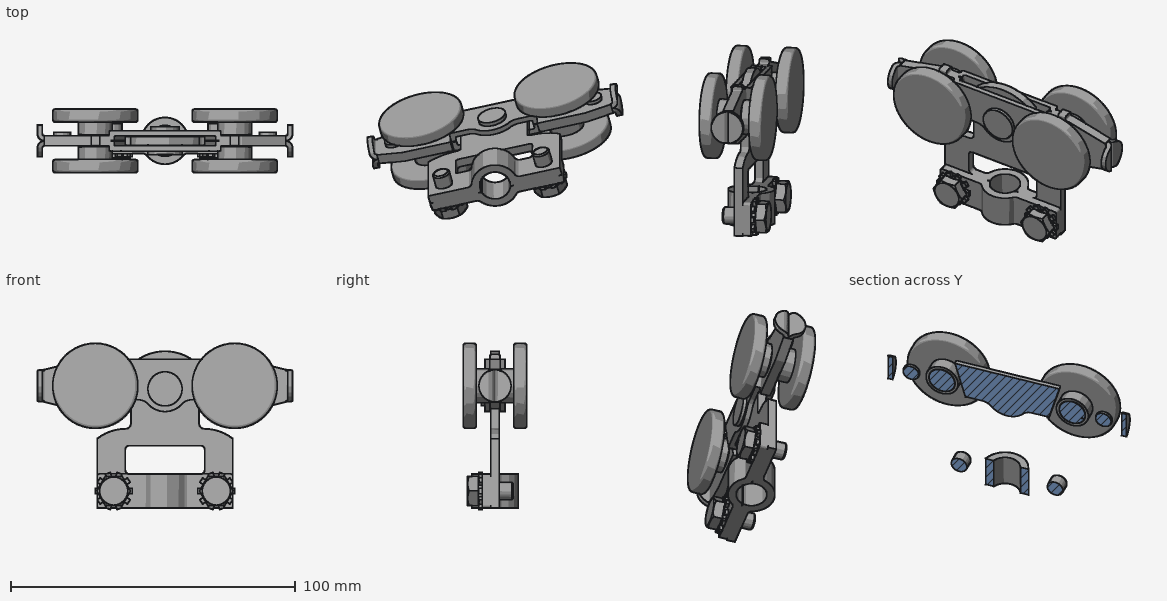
import cadquery as cq
import math


overall_width = 22.4
wheel_radius = 15.0
wheel_thickness = 4.7
wheel_edge_round = 1.0
axle_x = 24.5
hub_radius = 6.0
shoulder_radius = 4.9
hub_inner_y = 2.15
wheel_inner_y = overall_width / 2 - wheel_thickness

overall_length = 89.6
half_length = overall_length / 2
sheet = 1.8
plate_top = 9.4
tip_half_height = 5.7
end_bend_radius = 2.5
bend_x = half_length - end_bend_radius
tab_radius = 5.6
slope_end_x = 27.1
lower_edge = -8.0
middle_lower_edge = -4.9

bulge_top_x = 19.6
bulge_bottom_x = 15.7
bulge_half_width = 3.6
bulge_corner_round = 0.5
bulge_root_round = 0.5
pocket_half_width = 1.7
pocket_corner_round = 0.45
pocket_notch = 1.1
pocket_notch_half_width = 0.2
pocket_notch_round = 0.1

bridge_length = 3.0
bridge_top = 11.1
bridge_round = 0.6
bridge_root_round = 0.5

center_rivet_z = -1.1
rivet_front_radius = 6.0
rivet_back_radius = 4.9
rivet_front_y = -4.8
rivet_back_y = 5.0
rivet_lug_radius = 8.0
rivet_lug_blend = 4.5
end_rivet_x = 36.1
end_rivet_radius = 3.0
end_rivet_y = 3.05

bracket_thickness = 3.05
bracket_face_y = bracket_thickness / 2
bracket_half_width = 23.8
neck_half_width = 12.0
crown_top = 12.2
crown_radius = 16.8
shoulder_z = -15.05
neck_fillet = 1.8
shoulder_outer_z = -18.55
window_half_width = 13.9
window_top = -21.1
window_round = 1.3

clamp_z = -36.9
clamp_height = 12.0
clamp_radius = 8.2
bore_radius = 5.4
clamp_front_y = -bracket_face_y - 3.0
clamp_bend_round = 1.8
clamp_corner_round = 0.9
bore_notch = 1.1
bore_notch_half_width = 1.3

screw_x = 18.0
screw_radius = 3.0
screw_end_y = 6.45
screw_end_chamfer = 0.5
head_flats = 10.2
head_face_radius = 4.9
head_back_y = -5.9
head_front_y = -9.7
head_cone_angle = 30.0
washer_ring_radius = 4.8
washer_tip_radius = 6.5
tooth_count = 10
tooth_width = 1.8
tooth_thickness = 1.2


def cylinder_y(x, z, radius, y_start, y_end):
    """Cylinder parallel to Y between two Y positions."""
    length = y_end - y_start
    return cq.Workplane(cq.Solid.makeCylinder(radius, length, cq.Vector(x, y_start, z), cq.Vector(0, 1, 0)))


def extrude_y(profile, y_start, y_end):
    """Extrude a closed XZ profile between two Y positions."""
    return profile.extrude(y_start - y_end).translate((0, y_start, 0))


def block(x_range, y_range, z_range):
    """Box from its lower and upper limits."""
    size = [high - low for low, high in (x_range, y_range, z_range)]
    return cq.Workplane("XY").box(*size, centered=False).translate((x_range[0], y_range[0], z_range[0]))


def both_ends(body):
    """Body together with its mirror image on the other X side."""
    return body.union(body.mirror("YZ"))


def axle_with_wheels():
    wheel = cylinder_y(axle_x, 0, wheel_radius, wheel_inner_y, overall_width / 2)
    wheel = wheel.edges().fillet(wheel_edge_round)
    hub = cylinder_y(axle_x, 0, hub_radius, hub_inner_y, wheel_inner_y)
    side = wheel.union(hub)
    shoulder = cylinder_y(axle_x, 0, shoulder_radius, -hub_inner_y, hub_inner_y)
    return shoulder.union(side).union(side.mirror("XZ"))


def end_plate():
    """Flat double sheet from the widened middle out to the bend of the end tabs."""
    slope = (plate_top - tip_half_height) / (bend_x - slope_end_x)
    lower_slope_x = bend_x - (-lower_edge - tip_half_height) / slope
    outline = (
        cq.Workplane("XZ")
        .moveTo(bulge_bottom_x, plate_top)
        .lineTo(slope_end_x, plate_top)
        .lineTo(bend_x, tip_half_height)
        .lineTo(bend_x, -tip_half_height)
        .lineTo(lower_slope_x, lower_edge)
        .lineTo(bulge_bottom_x, lower_edge)
        .close()
    )
    return extrude_y(outline, -sheet, sheet)


def end_tab():
    """Outward-bent end of one sheet, trimmed to a disc outline."""
    inner_radius = end_bend_radius - sheet
    diagonal = math.sqrt(0.5)
    bent_sheet = (
        cq.Workplane("XY", origin=(0, 0, -tab_radius))
        .moveTo(bend_x, 0)
        .threePointArc(
            (bend_x + end_bend_radius * diagonal, end_bend_radius * (1 - diagonal)),
            (half_length, end_bend_radius),
        )
        .lineTo(half_length, tab_radius)
        .lineTo(half_length - sheet, tab_radius)
        .lineTo(half_length - sheet, end_bend_radius)
        .threePointArc(
            (bend_x + inner_radius * diagonal, end_bend_radius - inner_radius * diagonal),
            (bend_x, sheet),
        )
        .close()
        .extrude(2 * tab_radius)
    )
    disc = cq.Workplane("YZ", origin=(bend_x, 0, 0)).circle(tab_radius).extrude(end_bend_radius)
    return bent_sheet.intersect(disc)


def bridge_tab():
    """Folded tab on the plate top, with small rounds at its root."""
    half = bridge_length / 2
    root = half + bridge_root_round
    root_top = plate_top + bridge_root_round
    outline = (
        cq.Workplane("XZ")
        .moveTo(axle_x - root, plate_top)
        .radiusArc((axle_x - half, root_top), -bridge_root_round)
        .lineTo(axle_x - half, bridge_top)
        .lineTo(axle_x + half, bridge_top)
        .lineTo(axle_x + half, root_top)
        .radiusArc((axle_x + root, plate_top), -bridge_root_round)
        .lineTo(axle_x + root, plate_top - sheet)
        .lineTo(axle_x - root, plate_top - sheet)
        .close()
    )
    return extrude_y(outline, -sheet, sheet).edges("|X and >Z").fillet(bridge_round)


def rivet_lug():
    """Round lug below the middle of the carriage, blended into its lower edge."""
    blend_center_z = middle_lower_edge - rivet_lug_blend
    reach = rivet_lug_radius + rivet_lug_blend
    blend_x = math.sqrt(reach**2 - (center_rivet_z - blend_center_z) ** 2)
    share = rivet_lug_radius / reach
    tangent_x = blend_x * share
    tangent_z = center_rivet_z + (blend_center_z - center_rivet_z) * share
    return (
        cq.Workplane("XZ")
        .moveTo(-blend_x, center_rivet_z)
        .lineTo(-blend_x, middle_lower_edge)
        .radiusArc((-tangent_x, tangent_z), rivet_lug_blend)
        .threePointArc((0, center_rivet_z - rivet_lug_radius), (tangent_x, tangent_z))
        .radiusArc((blend_x, middle_lower_edge), rivet_lug_blend)
        .lineTo(blend_x, center_rivet_z)
        .close()
    )


def slanted_block(top_x, bottom_x, half_width, corner_round):
    """Block between the plate edges whose two ends lean inward toward the bottom."""
    corners = [
        (-top_x, plate_top),
        (top_x, plate_top),
        (bottom_x, middle_lower_edge),
        (-bottom_x, middle_lower_edge),
    ]
    outline = cq.Workplane("XZ").polyline(corners).close()
    body = extrude_y(outline, -half_width, half_width)
    return body.edges("not(|X or |Y)").fillet(corner_round)


def bulge_root_edges():
    """Selector for the four slanted inner corners where the bulge leaves the flat sheets."""
    margin = 0.1
    selector = None
    for side in (-1, 1):
        for face in (-1, 1):
            corner_a = (side * (bulge_bottom_x - margin), face * (sheet - margin), middle_lower_edge - margin)
            corner_b = (side * (bulge_top_x + margin), face * (sheet + margin), plate_top + margin)
            corner = cq.selectors.BoxSelector(corner_a, corner_b, boundingbox=True)
            selector = corner if selector is None else selector + corner
    return selector


def carriage():
    tab = end_tab()
    end = end_plate().union(tab).union(tab.mirror("XZ")).union(bridge_tab())
    end = end.union(cylinder_y(end_rivet_x, 0, end_rivet_radius, 0, end_rivet_y))
    bulge = slanted_block(bulge_top_x, bulge_bottom_x, bulge_half_width, bulge_corner_round)
    lug = extrude_y(rivet_lug(), -bulge_half_width, bulge_half_width)
    body = both_ends(end).union(bulge)
    body = body.edges(bulge_root_edges()).fillet(bulge_root_round).union(lug)

    pocket_top_x = bulge_top_x - sheet
    pocket_bottom_x = bulge_bottom_x - sheet
    pocket = slanted_block(pocket_top_x, pocket_bottom_x, pocket_half_width, pocket_corner_round)
    lug_gap = extrude_y(rivet_lug(), -pocket_half_width, pocket_half_width)
    end_notches = slanted_block(
        pocket_top_x + pocket_notch,
        pocket_bottom_x + pocket_notch,
        pocket_notch_half_width,
        pocket_notch_round,
    )
    return body.cut(pocket).cut(lug_gap).cut(end_notches)


def center_rivet():
    front = cylinder_y(0, center_rivet_z, rivet_front_radius, rivet_front_y, 0)
    back = cylinder_y(0, center_rivet_z, rivet_back_radius, 0, rivet_back_y)
    return front.union(back)


def bracket():
    """Flat hanger with a domed crown, a narrow neck, rounded shoulders and a window."""
    bottom = clamp_z - clamp_height / 2
    crown_center_z = crown_top - crown_radius
    crown_edge_z = crown_center_z + math.sqrt(crown_radius**2 - neck_half_width**2)
    fillet_x = neck_half_width + neck_fillet
    fillet_z = shoulder_z + neck_fillet
    shoulder_run = bracket_half_width - fillet_x
    shoulder_drop = shoulder_z - shoulder_outer_z
    shoulder_round = (shoulder_run**2 + shoulder_drop**2) / (2 * shoulder_drop)
    outline = (
        cq.Workplane("XZ")
        .moveTo(-neck_half_width, crown_edge_z)
        .threePointArc((0, crown_top), (neck_half_width, crown_edge_z))
        .lineTo(neck_half_width, fillet_z)
        .radiusArc((fillet_x, shoulder_z), -neck_fillet)
        .radiusArc((bracket_half_width, shoulder_outer_z), shoulder_round)
        .lineTo(bracket_half_width, bottom)
        .lineTo(-bracket_half_width, bottom)
        .lineTo(-bracket_half_width, shoulder_outer_z)
        .radiusArc((-fillet_x, shoulder_z), shoulder_round)
        .radiusArc((-neck_half_width, fillet_z), -neck_fillet)
        .close()
    )
    window_bottom = clamp_z + clamp_height / 2
    window = block(
        (-window_half_width, window_half_width),
        (-bracket_face_y, bracket_face_y),
        (window_bottom, window_top),
    ).edges("|Y").fillet(window_round)
    return extrude_y(outline, -bracket_face_y, bracket_face_y).cut(window)


def clamp_bulge(face_y):
    """Half-round wall of the clamp, blended into a flat face at the given distance from the bore axis."""
    reach = clamp_radius + clamp_bend_round
    blend_y = face_y + clamp_bend_round
    blend_x = math.sqrt(reach**2 - blend_y**2)
    share = clamp_radius / reach
    return (
        cq.Workplane("XY", origin=(0, 0, clamp_z - clamp_height / 2))
        .moveTo(-blend_x, 0)
        .lineTo(-blend_x, face_y)
        .radiusArc((-blend_x * share, blend_y * share), -clamp_bend_round)
        .threePointArc((0, clamp_radius), (blend_x * share, blend_y * share))
        .radiusArc((blend_x, face_y), -clamp_bend_round)
        .lineTo(blend_x, 0)
        .close()
        .extrude(clamp_height)
    )


def clamp():
    """Front clamp plate and both half-round walls."""
    bottom = clamp_z - clamp_height / 2
    top = clamp_z + clamp_height / 2
    plate = block(
        (-bracket_half_width, bracket_half_width),
        (clamp_front_y, -bracket_face_y),
        (bottom, top),
    ).edges("|Y").fillet(clamp_corner_round)
    front_wall = clamp_bulge(-clamp_front_y).mirror("XZ")
    back_wall = clamp_bulge(bracket_face_y)
    return plate.union(front_wall).union(back_wall)


def clamp_bore():
    """Rod bore with a small pointed notch on each side at the parting plane."""
    bottom = clamp_z - clamp_height / 2
    bore = cq.Workplane("XY", origin=(0, 0, bottom)).circle(bore_radius).extrude(clamp_height)
    notch_x = math.sqrt(bore_radius**2 - bracket_face_y**2)
    tip_x = notch_x + bore_notch
    corners = [
        (-tip_x, -bracket_face_y),
        (0, -bracket_face_y - bore_notch_half_width),
        (tip_x, -bracket_face_y),
        (0, -bracket_face_y + bore_notch_half_width),
    ]
    notches = cq.Workplane("XY", origin=(0, 0, bottom)).polyline(corners).close().extrude(clamp_height)
    return bore.union(notches)


def lock_washer():
    washer = cylinder_y(screw_x, clamp_z, washer_ring_radius, head_back_y, clamp_front_y)
    tooth = block(
        (screw_x, screw_x + washer_tip_radius),
        (clamp_front_y - tooth_thickness, clamp_front_y),
        (clamp_z - tooth_width / 2, clamp_z + tooth_width / 2),
    )
    for index in range(tooth_count):
        angle = index * 360 / tooth_count
        washer = washer.union(tooth.rotate((screw_x, 0, clamp_z), (screw_x, 1, clamp_z), angle))
    return washer


def screw_head():
    """Hexagon head whose corners are trimmed by a cone."""
    corner_diameter = head_flats / math.cos(math.pi / 6)
    hexagon = cq.Workplane("XZ").polygon(6, corner_diameter)
    head = extrude_y(hexagon, head_front_y, head_back_y)
    height = head_back_y - head_front_y
    cone_radius = head_face_radius + height / math.tan(math.radians(head_cone_angle))
    cone = cq.Solid.makeCone(
        head_face_radius, cone_radius, height, cq.Vector(0, head_front_y, 0), cq.Vector(0, 1, 0)
    )
    return head.intersect(cq.Workplane(cone)).translate((screw_x, 0, clamp_z))


def clamp_screw():
    shank = cylinder_y(screw_x, clamp_z, screw_radius, head_back_y, screw_end_y)
    shank = shank.faces(">Y").chamfer(screw_end_chamfer)
    return shank.union(screw_head()).union(lock_washer())


hanger = bracket().union(clamp()).cut(clamp_bore()).union(both_ends(clamp_screw()))
result = carriage().union(both_ends(axle_with_wheels())).union(center_rivet()).union(hanger)